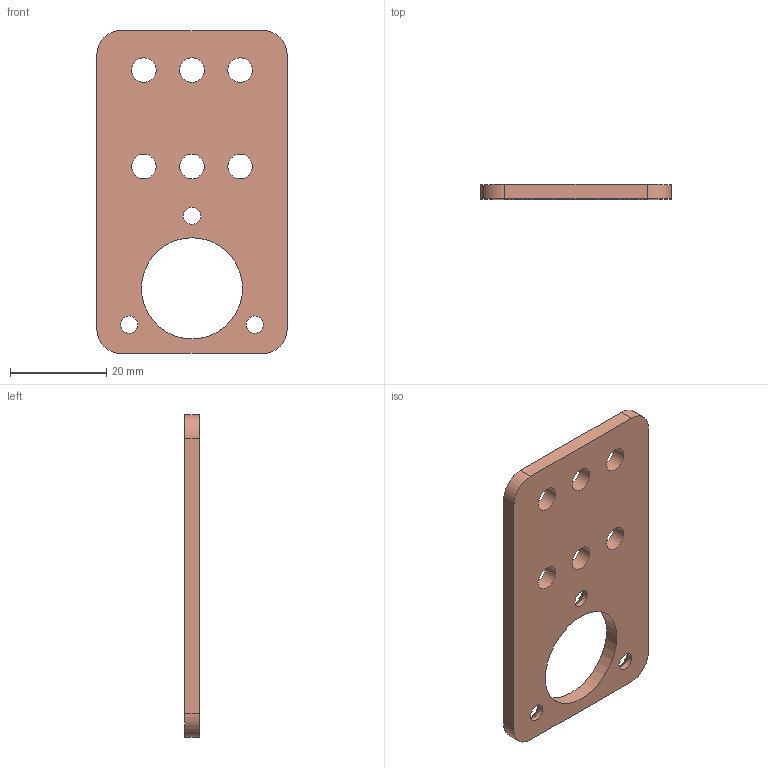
import cadquery as cq
import math

width = 39.5
height = 67.0
thickness = 3.0
corner_radius = 5.0

bore_diameter = 21.0
bore_height = 13.5
screw_diameter = 3.6
sink_diameter = 7.4
sink_angle = 90.0
screw_circle_radius = 15.05
screw_count = 3

grid_diameter = 5.1
grid_columns = 3
grid_pitch_x = 10.0
grid_rows_z = (38.8, 58.8)


def through_holes(centres, diameter):
    """Cylinders running through the plate at the given (x, z) centres."""
    return cq.Workplane("XZ").pushPoints(centres).circle(diameter / 2).extrude(-thickness)


def plate():
    """Plain plate with its four corners rounded."""
    blank = cq.Workplane("XY").box(width, thickness, height, centered=(True, False, False))
    return blank.edges("|Y").fillet(corner_radius)


def screw_centres():
    """Evenly spaced points around the bore, the first straight above it."""
    centres = []
    for index in range(screw_count):
        angle = math.radians(90 + index * 360 / screw_count)
        x = screw_circle_radius * math.cos(angle)
        z = bore_height + screw_circle_radius * math.sin(angle)
        centres.append((x, z))
    return centres


def countersinks(centres):
    """Cones at the screw holes, opening toward the back face at Y = thickness."""
    widening = (sink_diameter - screw_diameter) / 2
    depth = widening / math.tan(math.radians(sink_angle / 2))
    cones = cq.Workplane("XZ", origin=(0, thickness, 0)).pushPoints(centres).circle(sink_diameter / 2)
    return cones.extrude(depth, taper=sink_angle / 2)


def grid_centres():
    """Rows of mounting holes, symmetric about the plate's centre line."""
    centres = []
    for z in grid_rows_z:
        for column in range(grid_columns):
            x = (column - (grid_columns - 1) / 2) * grid_pitch_x
            centres.append((x, z))
    return centres


result = (
    plate()
    .cut(through_holes([(0, bore_height)], bore_diameter))
    .cut(through_holes(screw_centres(), screw_diameter))
    .cut(countersinks(screw_centres()))
    .cut(through_holes(grid_centres(), grid_diameter))
)